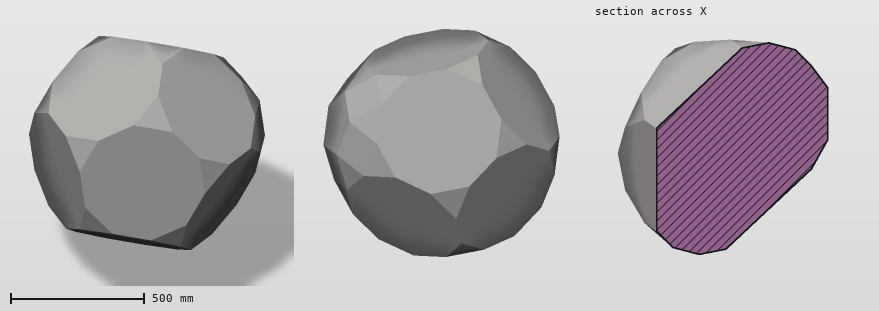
import cadquery as cq
import math

EDGE = 146.91
SIDES = 5
PITCH = 360.0 / SIDES
UP = 90.0
DOWN = -90.0

GOLDEN = (1 + math.sqrt(5)) / 2
PENTAGON_RADIUS = EDGE / (2 * math.sin(math.pi / SIDES))
PENTAGON_APOTHEM = EDGE / (2 * math.tan(math.pi / SIDES))
DECAGON_APOTHEM = EDGE / (2 * math.tan(math.pi / (2 * SIDES)))
CUPOLA_HEIGHT = math.sqrt(EDGE**2 - (DECAGON_APOTHEM - PENTAGON_APOTHEM) ** 2)

DECAGON_DISTANCE = DECAGON_APOTHEM * GOLDEN
CORNER_RADIUS = math.hypot(DECAGON_DISTANCE, GOLDEN * EDGE)
TRIANGLE_DISTANCE = math.sqrt(CORNER_RADIUS**2 - EDGE**2 / 3)
DECAGON_TILT = math.degrees(math.atan(2))
INNER_TRIANGLE_TILT = math.degrees(math.atan(3 - math.sqrt(5)))
OUTER_TRIANGLE_TILT = math.degrees(math.atan(3 + math.sqrt(5)))

PENTAGON_Y = DECAGON_DISTANCE + CUPOLA_HEIGHT
BLOCK_WIDTH = 4 * CORNER_RADIUS
WASTE_SIZE = 2 * BLOCK_WIDTH


def trim(body, tilt, azimuth, distance, toward_back):
    """Remove what lies beyond a plane whose normal leans by tilt from the Y axis."""
    tilt_angle = math.radians(tilt)
    azimuth_angle = math.radians(azimuth)
    y_sign = 1 if toward_back else -1
    normal = cq.Vector(
        math.sin(tilt_angle) * math.cos(azimuth_angle),
        y_sign * math.cos(tilt_angle),
        math.sin(tilt_angle) * math.sin(azimuth_angle),
    )
    plane = cq.Plane(origin=normal * distance, normal=normal)
    waste = cq.Workplane(plane).rect(WASTE_SIZE, WASTE_SIZE).extrude(WASTE_SIZE)
    return body.cut(waste)


def trim_ring(body, tilt, first_azimuth, distance, toward_back):
    """Trim five planes evenly spaced about the Y axis."""
    for index in range(SIDES):
        body = trim(body, tilt, first_azimuth + index * PITCH, distance, toward_back)
    return body


def make_block():
    """Block that ends at the -Y decagon and the +Y pentagon."""
    length = DECAGON_DISTANCE + PENTAGON_Y
    middle = (PENTAGON_Y - DECAGON_DISTANCE) / 2
    return cq.Workplane("XY").box(BLOCK_WIDTH, length, BLOCK_WIDTH).translate((0, middle, 0))


def trim_half(body, toward_back):
    """Slanted decagons and triangles of the front or back half; the halves mirror through the centre."""
    decagon_azimuth = DOWN if toward_back else UP
    triangle_azimuth = UP if toward_back else DOWN
    body = trim_ring(body, DECAGON_TILT, decagon_azimuth, DECAGON_DISTANCE, toward_back)
    for tilt in (INNER_TRIANGLE_TILT, OUTER_TRIANGLE_TILT):
        body = trim_ring(body, tilt, triangle_azimuth, TRIANGLE_DISTANCE, toward_back)
    return body


def trim_cupola_sides(body, first_azimuth, top_reach):
    """Cupola sides rising from the decagon edges to top_reach from the Y axis."""
    tilt_angle = math.atan2(CUPOLA_HEIGHT, DECAGON_APOTHEM - top_reach)
    distance = DECAGON_APOTHEM * math.sin(tilt_angle) + DECAGON_DISTANCE * math.cos(tilt_angle)
    return trim_ring(body, math.degrees(tilt_angle), first_azimuth, distance, True)


result = make_block()
result = trim_half(result, False)
result = trim_half(result, True)
result = trim_cupola_sides(result, UP, PENTAGON_APOTHEM)
result = trim_cupola_sides(result, DOWN, PENTAGON_RADIUS)